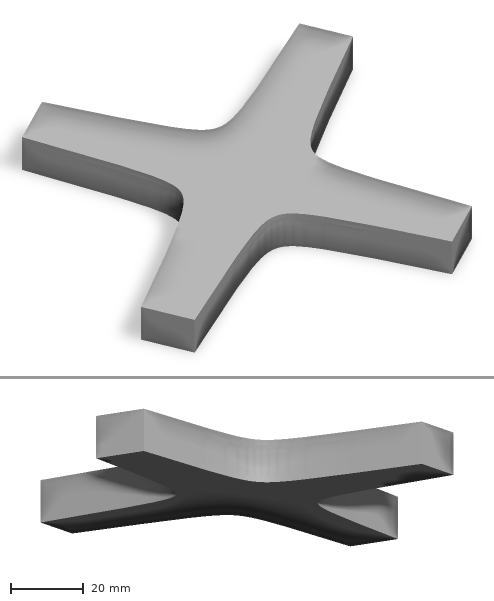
import cadquery as cq

span = 126.0
tip_width = 15.8
base_thickness = 10.0
top_thickness = 2.0

tangent_corner = 10.5
conic_weight = 5.7
flank_segments = 24

half_span = span / 2
half_tip = tip_width / 2


def flank_point(t):
    """Point on the +X +Y flank, from the +X arm tip (t = 0) to the +Y arm tip (t = 1)."""
    start_share = (1 - t) ** 2
    corner_share = 2 * conic_weight * t * (1 - t)
    end_share = t ** 2
    total = start_share + corner_share + end_share
    x = (start_share * half_span + corner_share * tangent_corner + end_share * half_tip) / total
    y = (start_share * half_tip + corner_share * tangent_corner + end_share * half_span) / total
    return x, y


def quarter_turns(point, turns):
    """Rotate a point about the origin by whole quarter turns, counter-clockwise."""
    x, y = point
    for _ in range(turns):
        x, y = -y, x
    return x, y


def cross_layer(bottom, thickness):
    """Four-armed plate with flat arm tips and a concave flank in each quadrant."""
    flank = [flank_point(i / flank_segments) for i in range(flank_segments + 1)]
    outline = cq.Workplane("XY").workplane(offset=bottom).moveTo(half_span, -half_tip)
    for turns in range(4):
        turned_flank = [quarter_turns(point, turns) for point in flank]
        outline = outline.lineTo(*turned_flank[0])
        outline = outline.spline(turned_flank[1:], includeCurrent=True)
    return outline.close().extrude(thickness)


base = cross_layer(0, base_thickness)
top_skin = cross_layer(base_thickness, top_thickness)
result = base.union(top_skin)